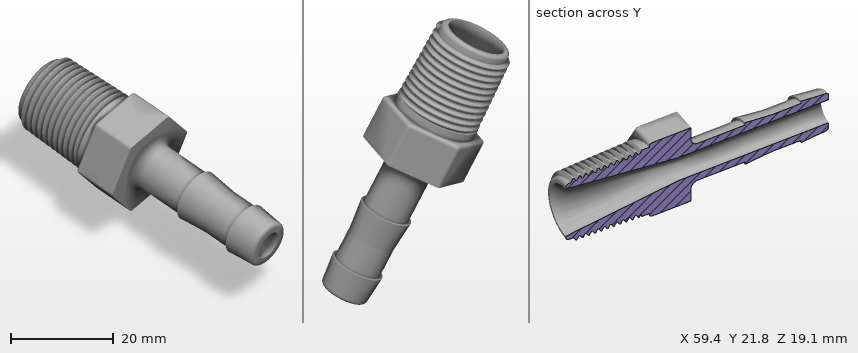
import cadquery as cq
import math


total_length = 59.44
collar_start = 17.08
hex_start = 18.80
hex_length = 9.525
hex_end = hex_start + hex_length
barb_length = 6.35
barb_pitch = 12.7
barb_count = 2

across_flats = 19.05
edge_round = 0.762

thread_pitch = 25.4 / 18
thread_turns = 11.3
thread_start = 1.36
thread_taper = 1 / 32
thread_base_width = 1.3
thread_crest_width = 0.2
thread_sink = 0.1
root_radius_at_end = 7.27
collar_radius = 17.27 / 2

thread_end = thread_start + thread_turns * thread_pitch
root_radius_at_thread_end = root_radius_at_end + thread_taper * thread_end
crest_clearance = 0.005
thread_height = collar_radius - root_radius_at_thread_end - crest_clearance

tail_radius = 9.65 / 2
tail_fillet = 1.524
barb_radius = 5.44

bore_radius = 5.84 / 2
mouth_radius = 6.07
mouth_cone_end = 25.4


def root_radius(x):
    """Radius of the thread root cone at distance x from the threaded end."""
    return root_radius_at_end + thread_taper * x


def make_threaded_body():
    """Root cone, rounded at its open end, with the plain collar beside the hexagon."""
    cone = (
        cq.Workplane("XY")
        .polyline([
            (0, 0),
            (0, root_radius(0)),
            (collar_start, root_radius(collar_start)),
            (collar_start, 0),
        ])
        .close()
        .revolve(360, (0, 0, 0), (1, 0, 0))
        .faces("<X")
        .edges()
        .fillet(edge_round)
    )
    collar = (
        cq.Workplane("YZ", origin=(collar_start, 0, 0))
        .circle(collar_radius)
        .extrude(hex_start - collar_start)
    )
    return cone.union(collar)


def make_thread():
    """Right-hand tapered helical ridge that starts on the +Y side."""
    start_radius = root_radius(thread_start)
    helix = cq.Wire.makeHelix(
        thread_pitch,
        thread_pitch * thread_turns,
        start_radius,
        angle=math.degrees(math.atan(thread_taper)),
    )
    axis_to_x = cq.Location(cq.Plane.named("YZ", (thread_start, 0, 0)))
    half_base = thread_base_width / 2
    half_crest = thread_crest_width / 2
    foot_radius = start_radius - thread_sink
    crest_radius = start_radius + thread_height
    profile = (
        cq.Workplane("XY")
        .polyline([
            (thread_start - half_base, foot_radius),
            (thread_start - half_crest, crest_radius),
            (thread_start + half_crest, crest_radius),
            (thread_start + half_base, foot_radius),
        ])
        .close()
    )
    return profile.sweep(cq.Workplane(helix.moved(axis_to_x)), isFrenet=True)


def make_hexagon():
    """Hexagon with rounded corners and a rounded edge facing the thread."""
    across_corners = across_flats / math.cos(math.pi / 6)
    return (
        cq.Workplane("YZ", origin=(hex_start, 0, 0))
        .polygon(6, across_corners)
        .extrude(hex_length)
        .edges("|X")
        .fillet(edge_round)
        .faces("<X")
        .edges()
        .fillet(edge_round)
    )


def make_tail():
    """Plain tube flared into the hexagon by a concave fillet."""
    fillet_end = hex_end + tail_fillet
    fillet_reach = tail_fillet * math.sin(math.pi / 4)
    fillet_center_radius = tail_radius + tail_fillet
    return (
        cq.Workplane("XY")
        .moveTo(hex_end, 0)
        .lineTo(hex_end, fillet_center_radius)
        .threePointArc(
            (fillet_end - fillet_reach, fillet_center_radius - fillet_reach),
            (fillet_end, tail_radius),
        )
        .lineTo(total_length - barb_length, tail_radius)
        .lineTo(total_length - barb_length, 0)
        .close()
        .revolve(360, (0, 0, 0), (1, 0, 0))
    )


def make_barb(end_x):
    """Cone that narrows toward the hose end and finishes at the tube radius."""
    return (
        cq.Workplane("XY")
        .polyline([
            (end_x - barb_length, 0),
            (end_x - barb_length, barb_radius),
            (end_x, tail_radius),
            (end_x, 0),
        ])
        .close()
        .revolve(360, (0, 0, 0), (1, 0, 0))
    )


def make_passage():
    """Conical mouth narrowing to a straight bore."""
    return (
        cq.Workplane("XY")
        .polyline([
            (0, 0),
            (0, mouth_radius),
            (mouth_cone_end, bore_radius),
            (total_length, bore_radius),
            (total_length, 0),
        ])
        .close()
        .revolve(360, (0, 0, 0), (1, 0, 0))
    )


tail = make_tail()
for index in range(barb_count):
    tail = tail.union(make_barb(total_length - index * barb_pitch))
tail = tail.faces(">X").edges().fillet(edge_round)

threaded_end = make_threaded_body().union(make_thread())
result = threaded_end.union(make_hexagon()).union(tail).cut(make_passage())